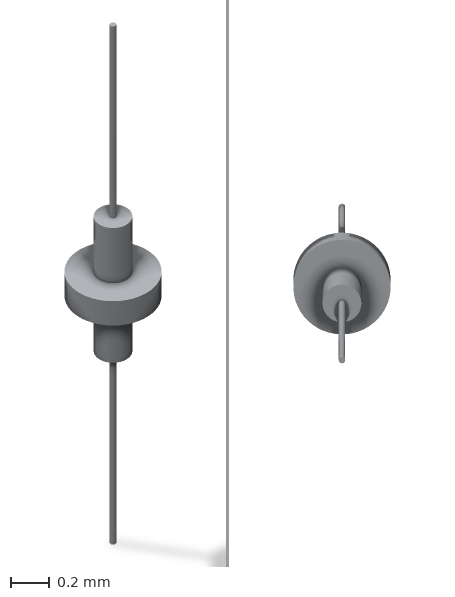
import cadquery as cq

wire_diameter = 0.035
wire_length = 3.38
sleeve_diameter = 0.2
sleeve_length = 0.88
flange_diameter = 0.5
flange_thickness = 0.16


def centred_cylinder(diameter, length):
    """Cylinder along Z, centred on the origin."""
    return cq.Workplane("XY").cylinder(length, diameter / 2)


wire = centred_cylinder(wire_diameter, wire_length)
sleeve = centred_cylinder(sleeve_diameter, sleeve_length)
flange = centred_cylinder(flange_diameter, flange_thickness)

result = flange.union(sleeve).union(wire)